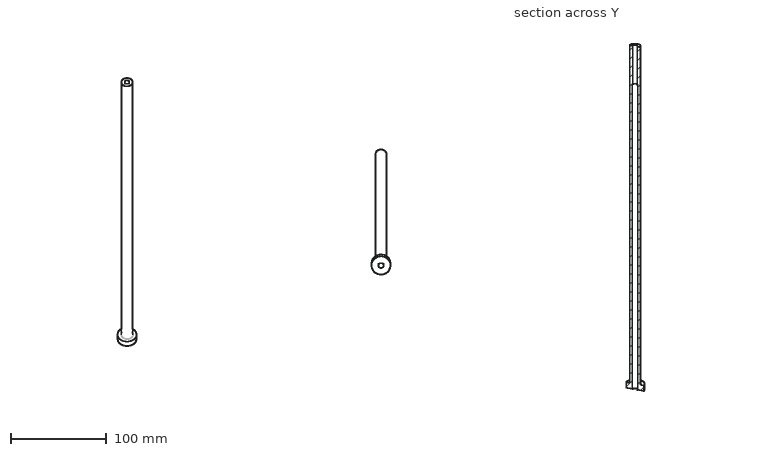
import cadquery as cq

total_length = 400.0
head_diameter = 20.0
head_height = 7.0
tube_diameter = 12.0
root_fillet_radius = 0.5
guide_bore_diameter = 5.0
guide_length = 45.0
relief_clearance = 0.25

tube_radius = tube_diameter / 2
head_radius = head_diameter / 2
guide_bore_radius = guide_bore_diameter / 2
relief_bore_radius = guide_bore_radius + relief_clearance
relief_depth = total_length - guide_length


def make_sleeve():
    """Revolve the half section, with a concave fillet where the tube meets the head."""
    fillet_foot_radius = tube_radius + root_fillet_radius
    fillet_top_height = head_height + root_fillet_radius
    half_section = (
        cq.Workplane("XZ")
        .moveTo(relief_bore_radius, 0)
        .lineTo(head_radius, 0)
        .lineTo(head_radius, head_height)
        .lineTo(fillet_foot_radius, head_height)
        .radiusArc((tube_radius, fillet_top_height), root_fillet_radius)
        .lineTo(tube_radius, total_length)
        .lineTo(guide_bore_radius, total_length)
        .lineTo(guide_bore_radius, relief_depth)
        .lineTo(relief_bore_radius, relief_depth)
        .close()
    )
    return half_section.revolve(360, (0, 0, 0), (0, 1, 0))


result = make_sleeve()